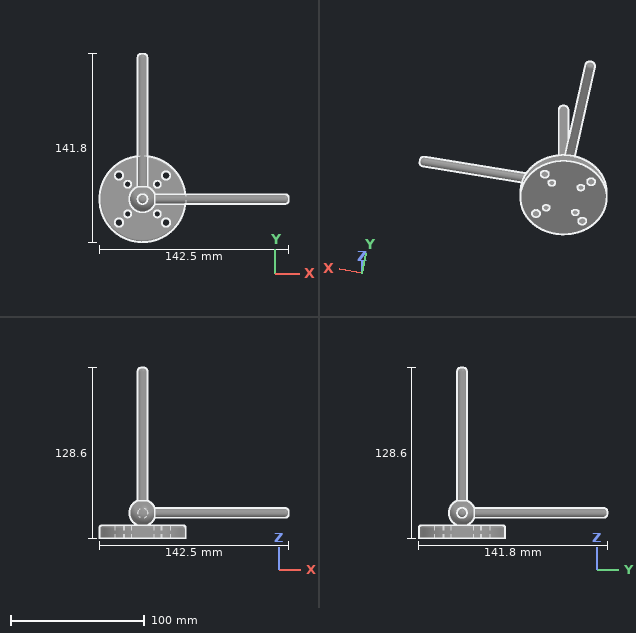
import cadquery as cq
import math

OVERALL_LENGTH = 142.5

BASE_DIAMETER = 65.0
BASE_THICKNESS = 10.0
BASE_FILLET = 2.0
INNER_HOLE_DIAMETER = 5.1
INNER_HOLE_CIRCLE = 31.5
OUTER_HOLE_DIAMETER = 6.1
OUTER_HOLE_CIRCLE = 50.0
HOLES_PER_CIRCLE = 4
FIRST_HOLE_ANGLE = 45

BALL_DIAMETER = 20.0
BASE_FLAT_DISTANCE = 9.3
BALL_CENTER_HEIGHT = BASE_THICKNESS + BASE_FLAT_DISTANCE

ROD_DIAMETER = 7.5
ROD_TIP_FILLET = 3.0
X_REACH = OVERALL_LENGTH - BASE_DIAMETER / 2
YZ_REACH = 109.3
ROD_START = math.sqrt(BALL_DIAMETER**2 - ROD_DIAMETER**2) / 2

BALL_CENTER = cq.Vector(0, 0, BALL_CENTER_HEIGHT)
ROD_REACHES = [
    (cq.Vector(1, 0, 0), X_REACH),
    (cq.Vector(0, 1, 0), YZ_REACH),
    (cq.Vector(0, 0, 1), YZ_REACH),
]


def cut_hole_circle(plate, circle_diameter, hole_diameter):
    """Drill evenly spaced through holes on a circle about the plate's centre."""
    return (
        plate.faces(">Z")
        .workplane(origin=(0, 0, 0))
        .polarArray(circle_diameter / 2, FIRST_HOLE_ANGLE, 360, HOLES_PER_CIRCLE)
        .hole(hole_diameter)
    )


def make_base():
    """Round plate with a rounded top rim, resting on Z = 0."""
    plate = cq.Workplane("XY").circle(BASE_DIAMETER / 2).extrude(BASE_THICKNESS)
    plate = plate.faces(">Z").edges().fillet(BASE_FILLET)
    plate = cut_hole_circle(plate, INNER_HOLE_CIRCLE, INNER_HOLE_DIAMETER)
    return cut_hole_circle(plate, OUTER_HOLE_CIRCLE, OUTER_HOLE_DIAMETER)


def make_ball():
    """Sphere cut flat at the base and at each rod's end."""
    ball = cq.Workplane("XY").sphere(BALL_DIAMETER / 2)
    flats = [(cq.Vector(0, 0, -1), BASE_FLAT_DISTANCE)]
    flats += [(direction, ROD_START) for direction, _ in ROD_REACHES]
    for direction, distance in flats:
        outside = cq.Workplane(cq.Plane(direction * distance, normal=direction))
        ball = ball.cut(outside.circle(BALL_DIAMETER).extrude(BALL_DIAMETER))
    return ball.translate(BALL_CENTER)


def make_rod(direction, reach):
    """Round rod from its flat on the ball to a rounded tip."""
    start = cq.Plane(BALL_CENTER + direction * ROD_START, normal=direction)
    rod = cq.Workplane(start).circle(ROD_DIAMETER / 2).extrude(reach - ROD_START)
    tip_face = rod.faces(cq.selectors.DirectionMinMaxSelector(direction))
    return tip_face.edges().fillet(ROD_TIP_FILLET)


base = make_base()
ball = make_ball()
rods = [make_rod(direction, reach) for direction, reach in ROD_REACHES]

result = cq.Compound.makeCompound([base.val(), ball.val(), *[rod.val() for rod in rods]])